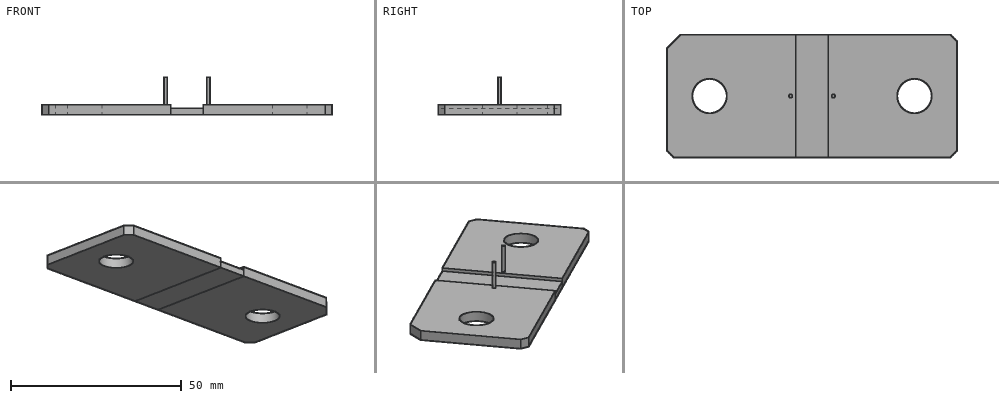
import cadquery as cq

overall_length = 85.0
width = 36.0
overall_height = 11.07

plate_thickness = 3.0
small_corner = 2.0
large_corner = 4.0
hole_diameter = 10.0
hole_spacing = 60.0

strip_length = 9.4
strip_thickness = 2.0

pin_diameter = 1.0
pin_spacing = 12.5
pin_height = overall_height - plate_thickness

half_length = overall_length / 2
half_width = width / 2
half_strip = strip_length / 2


def terminal_plate(side, back_corner):
    """Plate on the -X (side=-1) or +X (side=1) end; back_corner is the cut at its outer +Y corner."""
    inner = side * half_strip
    outer = side * half_length
    outline = [
        (inner, -half_width),
        (outer - side * small_corner, -half_width),
        (outer, -half_width + small_corner),
        (outer, half_width - back_corner),
        (outer - side * back_corner, half_width),
        (inner, half_width),
    ]
    bolt_hole = (
        cq.Workplane("XY")
        .center(side * hole_spacing / 2, 0)
        .circle(hole_diameter / 2)
        .extrude(plate_thickness)
    )
    return cq.Workplane("XY").polyline(outline).close().extrude(plate_thickness).cut(bolt_hole)


def resistive_strip():
    """Thin bar joining the two plates."""
    return cq.Workplane("XY").rect(strip_length, width).extrude(strip_thickness)


def sense_pin(side):
    """Round pin standing on the top face of the plate on the given side."""
    return (
        cq.Workplane("XY", origin=(side * pin_spacing / 2, 0, plate_thickness))
        .circle(pin_diameter / 2)
        .extrude(pin_height)
    )


left_plate = terminal_plate(-1, large_corner)
right_plate = terminal_plate(1, small_corner)
strip = resistive_strip()
pins = [sense_pin(side) for side in (-1, 1)]

result = cq.Compound.makeCompound([
    left_plate.val(),
    right_plate.val(),
    strip.val(),
    *[pin.val() for pin in pins],
])